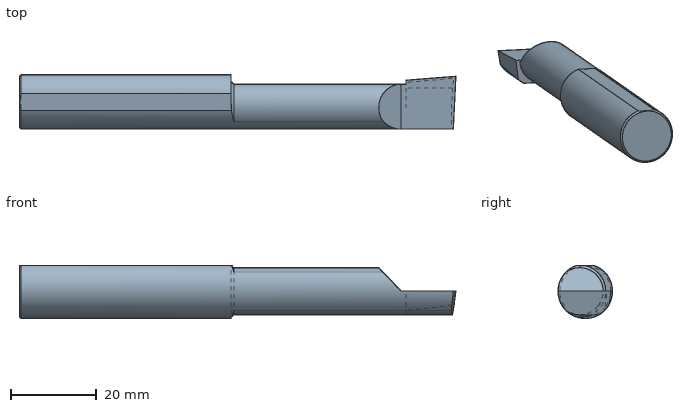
import cadquery as cq
import math

length = 101.6
shank_dia = 12.7
shank_length = 49.3
shank_chamfer = 0.4
flat_width = 4.0

neck_dia = 11.0
neck_offset = -1.3
shoulder_flare = 0.6

ramp_start = 83.6
ramp_angle = 46
cutting_height = 0.1

head_start = 89.9
head_start_y = 5.1
tip_y = 6.0
front_setback = 0.6
relief_angle = 7

shank_radius = shank_dia / 2
neck_radius = neck_dia / 2
flat_height = math.sqrt(shank_radius**2 - (flat_width / 2) ** 2)
ramp_end = ramp_start + (neck_radius - cutting_height) / math.tan(math.radians(ramp_angle))


def rod(radius, start, end, offset=0):
    """Cylinder along X between two stations, with its axis shifted in Y."""
    return cq.Workplane("YZ", origin=(start, offset, 0)).circle(radius).extrude(end - start)


def make_shank():
    """Round shank with a chamfered back end."""
    return rod(shank_radius, 0, shank_length).faces("<X").chamfer(shank_chamfer)


def make_neck():
    """Eccentric neck kept inside the shank diameter, flared where it meets the shank."""
    flare = (
        cq.Workplane("YZ", origin=(shank_length, neck_offset, 0))
        .circle(neck_radius + shoulder_flare)
        .workplane(offset=shoulder_flare)
        .circle(neck_radius)
        .loft()
    )
    neck = rod(neck_radius, shank_length, length, neck_offset).union(flare)
    neck = neck.intersect(rod(shank_radius, shank_length, length))
    ramp_cutter = (
        cq.Workplane("XZ", origin=(0, shank_dia, 0))
        .moveTo(ramp_start, neck_radius)
        .lineTo(ramp_end, cutting_height)
        .lineTo(length, cutting_height)
        .lineTo(length, shank_dia)
        .lineTo(ramp_start, shank_dia)
        .close()
        .extrude(2 * shank_dia)
    )
    return neck.cut(ramp_cutter)


def make_head():
    """Flared cutting head, from the neck axis out to the tip, as deep as the neck."""
    blank = (
        cq.Workplane("XY", origin=(0, 0, -neck_radius))
        .moveTo(head_start, neck_offset)
        .lineTo(length, neck_offset)
        .lineTo(length, tip_y)
        .lineTo(head_start, head_start_y)
        .close()
        .extrude(neck_radius + cutting_height)
    )
    return blank.intersect(rod(shank_radius, head_start, length))


def make_clearance_envelope():
    """Outline of the bar in plan, narrowing downwards to relieve the front and side edges."""
    side_slope = (tip_y - head_start_y) / (length - head_start)
    front_slope = front_setback / (tip_y + shank_radius)
    margin = shank_dia
    return (
        cq.Workplane("XY", origin=(0, 0, cutting_height))
        .moveTo(head_start - margin, -shank_radius - margin)
        .lineTo(length - front_slope * (tip_y + shank_radius + margin), -shank_radius - margin)
        .lineTo(length, tip_y)
        .lineTo(head_start - margin, head_start_y - side_slope * margin)
        .close()
        .extrude(-shank_radius - cutting_height, taper=relief_angle)
    )


def make_flat_cutter():
    """Block above the flat that runs along the top of the shank and its shoulder."""
    return (
        cq.Workplane("XY", origin=(0, 0, flat_height))
        .rect(2 * length, shank_dia)
        .extrude(shank_radius)
    )


def front_of(station):
    """Block covering everything ahead of a station along X."""
    size = 4 * shank_dia
    return cq.Workplane("YZ", origin=(station, 0, 0)).rect(size, size).extrude(length)


neck = make_neck()
head = neck.intersect(front_of(head_start)).union(make_head())
head = head.intersect(make_clearance_envelope())
bar = make_shank().union(neck.cut(front_of(head_start))).union(head)
result = bar.cut(make_flat_cutter()).clean()